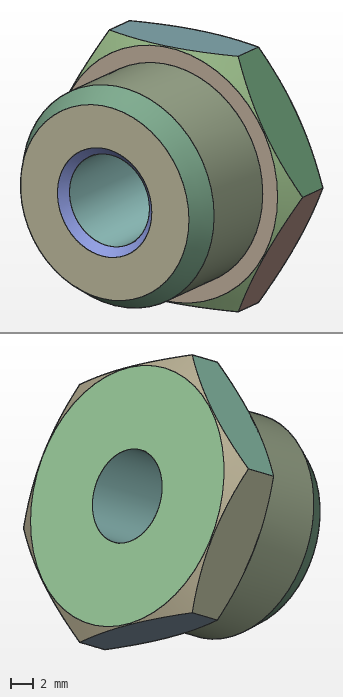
import cadquery as cq
import math

across_corners = 27.7
head_length = 5.51
head_face_diameter = 23.83
head_chamfer_angle = 30.0

total_length = 15.5
spigot_diameter = 20.65
tip_diameter = 18.12
tip_length = 2.15

bore_diameter = 8.6
bore_mouth_diameter = 10.15
bore_mouth_depth = (bore_mouth_diameter - bore_diameter) / 2


def revolve_about_y(profile):
    """Turn a closed (radius, y) profile about the Y axis."""
    return cq.Workplane("XY").polyline(profile).close().revolve(360, (0, 0, 0), (0, 1, 0))


head_start = total_length - head_length


def make_head():
    """Hexagon with two corners on the X axis and both ends chamfered by a turned envelope."""
    hexagon = (
        cq.Workplane("XZ", origin=(0, total_length, 0))
        .polygon(6, across_corners)
        .extrude(head_length)
    )
    corner_radius = across_corners / 2
    face_radius = head_face_diameter / 2
    chamfer_depth = (corner_radius - face_radius) * math.tan(math.radians(head_chamfer_angle))
    envelope = revolve_about_y([
        (0, head_start),
        (face_radius, head_start),
        (corner_radius, head_start + chamfer_depth),
        (corner_radius, total_length - chamfer_depth),
        (face_radius, total_length),
        (0, total_length),
    ])
    return hexagon.intersect(envelope)


def make_spigot():
    """Cylinder with a tapered tip, reaching into the head."""
    spigot_radius = spigot_diameter / 2
    overlap_end = head_start + head_length / 2
    return revolve_about_y([
        (0, 0),
        (tip_diameter / 2, 0),
        (spigot_radius, tip_length),
        (spigot_radius, overlap_end),
        (0, overlap_end),
    ])


def make_bore():
    """Through hole countersunk at the spigot tip."""
    bore_radius = bore_diameter / 2
    return revolve_about_y([
        (0, 0),
        (bore_mouth_diameter / 2, 0),
        (bore_radius, bore_mouth_depth),
        (bore_radius, total_length),
        (0, total_length),
    ])


result = make_head().union(make_spigot()).cut(make_bore())